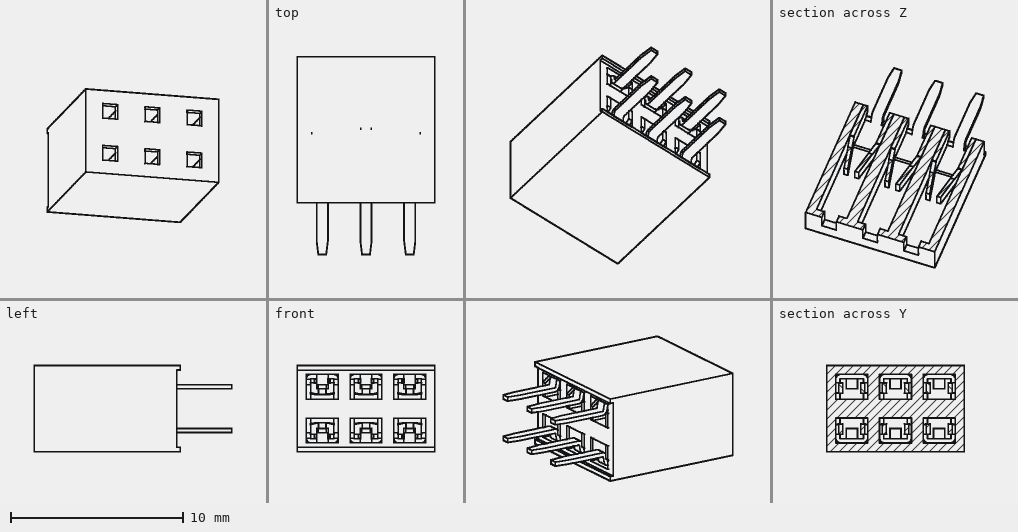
import cadquery as cq
import math


columns = 3
pitch = 2.54
column_places = [(i - (columns - 1) / 2) * pitch for i in range(columns)]
row_height = pitch / 2
row_sides = (1, -1)

housing_width = 8.02
housing_height = 5.04
housing_depth = 8.3
lip_thickness = 0.28
lip_length = 0.2
cavity_width = 1.85
cavity_height = 1.44
end_wall = 0.46
opening_size = 0.89

sheet = 0.25
clip_length = 2.3
base_setback = 0.44
clip_top = cavity_height / 2
clip_base = clip_top - sheet
side_slope_top = 0.44
side_slope_bottom = 0.13

beam_length = 2.3
beam_taper_length = 1.53
beam_gap = 0.41
beam_top = 0.23
beam_root_bottom = -0.35
beam_tip_bottom = -0.43

tail_length = 3.0
tail_width = 0.67
tail_tip_width = 0.47
tail_taper_length = 0.79
tail_tip = -lip_length - tail_length
tail_top = sheet / 2
web_lean = 10.0
web_start = 0.16
bend_inner_radius = 0.05
bend_outer_radius = bend_inner_radius + sheet


def box(width, y_start, y_end, z_bottom, z_top):
    """A box centred on X = 0."""
    size = (width, y_end - y_start, z_top - z_bottom)
    return cq.Workplane("XY").box(*size, centered=(True, False, False)).translate((0, y_start, z_bottom))


def side_profile(points, width):
    """Extrude a (Y, Z) outline symmetrically along X."""
    return cq.Workplane("YZ").polyline(points).close().extrude(width / 2, both=True)


def plan_profile(points):
    """Extrude an (X, Y) outline over more than the height of a contact."""
    return cq.Workplane("XY").polyline(points).close().extrude(cavity_height, both=True)


def make_housing():
    half_height = housing_height / 2
    body = box(housing_width, -lip_length, housing_depth, -half_height, half_height)
    recess_top = half_height - lip_thickness
    body = body.cut(box(housing_width, -lip_length, 0, -recess_top, recess_top))

    cavity = box(cavity_width, 0, housing_depth - end_wall, -cavity_height / 2, cavity_height / 2)
    opening = box(opening_size, 0, housing_depth, -opening_size / 2, opening_size / 2)
    pocket = cavity.union(opening)
    for x in column_places:
        for side in row_sides:
            body = body.cut(pocket.translate((x, 0, side * row_height)))
    return body


def make_clip():
    channel = box(cavity_width, 0, clip_length, -clip_top, clip_top)
    channel = channel.edges("|Y and >Z").fillet(sheet)
    channel = channel.cut(box(cavity_width - 2 * sheet, 0, clip_length, -clip_top, clip_base))
    outline = [
        (0, -clip_top),
        (clip_length, -clip_top),
        (clip_length, clip_top),
        (base_setback, clip_top),
        (base_setback, side_slope_top),
        (0, side_slope_bottom),
    ]
    return channel.intersect(side_profile(outline, cavity_width))


def make_beam():
    """The spring beam on the -X side."""
    root_outside = -cavity_width / 2
    tip_y = clip_length + beam_length
    plan = [
        (root_outside, clip_length),
        (root_outside + sheet, clip_length),
        (-beam_gap / 2, tip_y),
        (-beam_gap / 2 - sheet, tip_y),
    ]
    side = [
        (clip_length, beam_top),
        (clip_length, beam_root_bottom),
        (clip_length + beam_taper_length, beam_tip_bottom),
        (tip_y, beam_tip_bottom),
        (tip_y, beam_top),
    ]
    return plan_profile(plan).intersect(side_profile(side, cavity_width))


def make_tail():
    """The strip that runs out of the base, steps down to the row centre and leaves the housing."""
    lean = math.radians(web_lean)
    mitre = sheet * math.tan((math.pi / 2 - lean) / 2)
    web_end = web_start - (clip_top - tail_top) * math.tan(lean)
    upper_outer = (web_start, clip_top)
    upper_inner = (web_start + mitre, clip_base)
    lower_inner = (web_end, tail_top)
    lower_outer = (web_end + mitre, tail_top - sheet)
    outline = [
        (base_setback, clip_top),
        upper_outer,
        lower_inner,
        (tail_tip, tail_top),
        (tail_tip, tail_top - sheet),
        lower_outer,
        upper_inner,
        (base_setback, clip_base),
    ]
    strip = side_profile(outline, tail_width)
    bends = [
        (upper_outer, bend_outer_radius),
        (lower_outer, bend_outer_radius),
        (upper_inner, bend_inner_radius),
        (lower_inner, bend_inner_radius),
    ]
    for (y, z), radius in bends:
        strip = strip.edges("|X").edges(cq.NearestToPointSelector((0, y, z))).fillet(radius)

    taper_start = tail_tip + tail_taper_length
    plan = [
        (-tail_width / 2, base_setback),
        (-tail_width / 2, taper_start),
        (-tail_tip_width / 2, tail_tip),
        (tail_tip_width / 2, tail_tip),
        (tail_width / 2, taper_start),
        (tail_width / 2, base_setback),
    ]
    return strip.intersect(plan_profile(plan))


def make_contact():
    beam = make_beam()
    return make_clip().union(beam).union(beam.mirror("YZ")).union(make_tail())


housing = make_housing()

upper_contact = make_contact()
contacts = []
for x in column_places:
    for side in row_sides:
        contact = upper_contact if side > 0 else upper_contact.mirror("XY")
        contacts.append(contact.translate((x, 0, side * row_height)).val())

result = cq.Compound.makeCompound([housing.val(), *contacts])